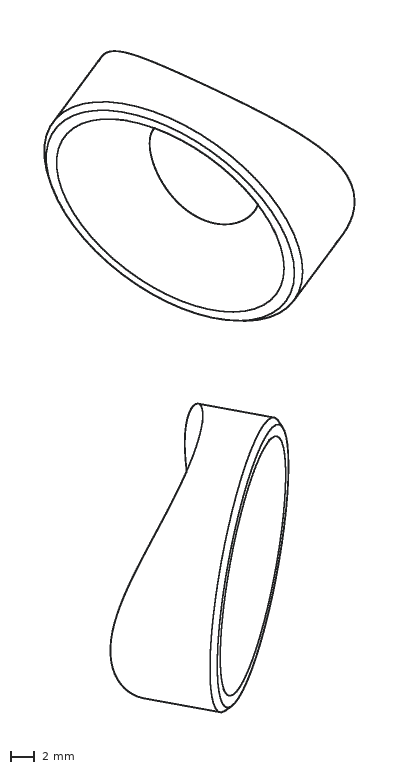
import cadquery as cq
import math

outer_diameter = 25.0
tube_diameter = 42.4
thinnest_depth = 5.0
rim_chamfer = 0.5
countersink_diameter = 22.0
countersink_half_angle = 45.0

outer_radius = outer_diameter / 2
tube_radius = tube_diameter / 2
tube_axis_y = thinnest_depth + tube_radius
countersink_radius = countersink_diameter / 2
countersink_apex_y = countersink_radius / math.tan(math.radians(countersink_half_angle))


def chamfered_disc():
    """Solid disc with a chamfered front rim, long enough to reach the tube axis."""
    profile = (
        cq.Workplane("XY")
        .lineTo(outer_radius - rim_chamfer, 0)
        .lineTo(outer_radius, rim_chamfer)
        .lineTo(outer_radius, tube_axis_y)
        .lineTo(0, tube_axis_y)
        .close()
    )
    return profile.revolve(360, (0, 0, 0), (0, 1, 0))


def tube():
    """Cylinder along Z that hollows the back of the washer into a saddle."""
    return (
        cq.Workplane("XY")
        .center(0, tube_axis_y)
        .circle(tube_radius)
        .extrude(outer_radius + rim_chamfer, both=True)
    )


def countersink():
    """Cone narrowing from the front face; the saddle cuts it short into a through hole."""
    profile = (
        cq.Workplane("XY")
        .lineTo(countersink_radius, 0)
        .lineTo(0, countersink_apex_y)
        .close()
    )
    return profile.revolve(360, (0, 0, 0), (0, 1, 0))


result = chamfered_disc().cut(tube()).cut(countersink())